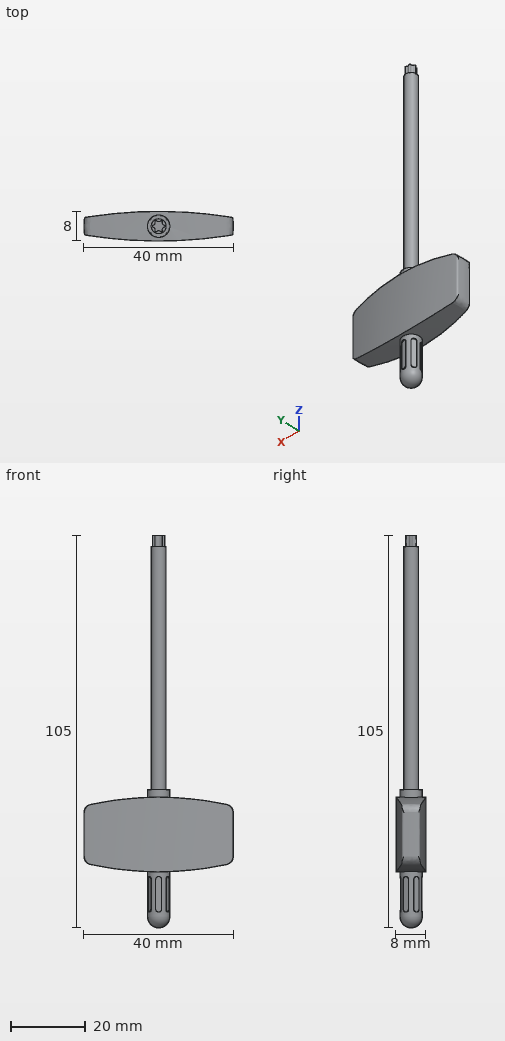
import cadquery as cq
import math


grip_diameter = 6.0
grip_length = 15.0
slot_count = 6
slot_length = 9.5
slot_width = 1.6
slot_depth = 0.3

handle_length = 40.0
handle_height = 20.0
handle_thickness = 8.0
end_height = 15.3
end_thickness = 4.65
end_corner_radius = 2.2
end_edge_radius = 0.5
end_overrun = 1.0

collar_diameter = 6.0
collar_height = 2.0
blade_diameter = 4.0
blade_length = 65.0
bit_length = 3.0
lobe_count = 6
bit_outer_diameter = 3.35
bit_root_diameter = 2.4
lobe_tip_radius = 0.27

handle_bottom = grip_length
handle_center = handle_bottom + handle_height / 2
collar_bottom = handle_bottom + handle_height
blade_bottom = collar_bottom + collar_height
bit_bottom = blade_bottom + blade_length


def bowed_sides(plane, center_size, end_size):
    """Outline reaching past the handle ends, its two long sides bowed outwards."""
    half_length = handle_length / 2
    rise = (center_size - end_size) / 2
    side_radius = (half_length**2 + rise**2) / (2 * rise)
    reach = half_length + end_overrun
    half_reach_size = center_size / 2 - side_radius + math.sqrt(side_radius**2 - reach**2)
    return (
        cq.Workplane(plane)
        .moveTo(-reach, -half_reach_size)
        .threePointArc((0, -center_size / 2), (reach, -half_reach_size))
        .lineTo(reach, half_reach_size)
        .threePointArc((0, center_size / 2), (-reach, half_reach_size))
        .close()
    )


def make_handle():
    """Handle bowed in height and thickness, with round-nosed ends."""
    end_disc = cq.Workplane("XY").circle(handle_length / 2).extrude(handle_height / 2, both=True)

    front_shape = bowed_sides("XZ", handle_height, end_height).extrude(handle_thickness / 2, both=True)
    front_shape = front_shape.intersect(end_disc).edges("%BSPLINE").fillet(end_corner_radius)

    plan_shape = bowed_sides("XY", handle_thickness, end_thickness).extrude(handle_height / 2, both=True)
    plan_shape = plan_shape.intersect(end_disc).edges("|Z").fillet(end_edge_radius)
    return front_shape.intersect(plan_shape).translate((0, 0, handle_center))


def make_grip():
    """Cylinder with a hemispherical lower end and flat-floored slots on its side."""
    grip_radius = grip_diameter / 2
    dome = cq.Workplane("XY", origin=(0, 0, grip_radius)).sphere(grip_radius)
    shank = (
        cq.Workplane("XY", origin=(0, 0, grip_radius))
        .circle(grip_radius)
        .extrude(handle_center - grip_radius)
    )
    grip = dome.union(shank)
    slot_height = (grip_radius + handle_bottom) / 2
    cutter = (
        cq.Workplane("XZ", origin=(0, slot_depth - grip_radius, slot_height))
        .slot2D(slot_length, slot_width, 90)
        .extrude(grip_radius)
    )
    for index in range(slot_count):
        grip = grip.cut(cutter.rotate((0, 0, 0), (0, 0, 1), index * 360 / slot_count))
    return grip


def rod_from_handle(diameter, top):
    """Round rod rising along Z from the middle of the handle to the given height."""
    rod = cq.Workplane("XY", origin=(0, 0, handle_center)).circle(diameter / 2)
    return rod.extrude(top - handle_center)


def make_bit():
    """Six-lobe bit: round lobes joined by tangent concave valleys, one lobe pointing along +X."""
    lobe_center = bit_outer_diameter / 2 - lobe_tip_radius
    half_pitch = math.pi / lobe_count
    root_radius = bit_root_diameter / 2
    lobe_along = lobe_center * math.cos(half_pitch)
    lobe_across = lobe_center * math.sin(half_pitch)
    offset = root_radius - lobe_along
    valley_radius = (lobe_across**2 + offset**2 - lobe_tip_radius**2) / (2 * (lobe_tip_radius - offset))
    valley_center = root_radius + valley_radius
    contact_share = lobe_tip_radius / (lobe_tip_radius + valley_radius)

    def polar(radius, angle):
        return (radius * math.cos(angle), radius * math.sin(angle))

    def contact(lobe_angle, valley_angle):
        lobe = polar(lobe_center, lobe_angle)
        valley = polar(valley_center, valley_angle)
        return tuple(a + (b - a) * contact_share for a, b in zip(lobe, valley))

    profile = cq.Workplane("XY", origin=(0, 0, bit_bottom)).moveTo(*contact(0, -half_pitch))
    for index in range(lobe_count):
        lobe_angle = 2 * half_pitch * index
        valley_angle = lobe_angle + half_pitch
        next_lobe_angle = valley_angle + half_pitch
        profile = profile.threePointArc(
            polar(bit_outer_diameter / 2, lobe_angle), contact(lobe_angle, valley_angle)
        ).threePointArc(polar(root_radius, valley_angle), contact(next_lobe_angle, valley_angle))
    return profile.close().extrude(bit_length)


collar = rod_from_handle(collar_diameter, blade_bottom)
blade = rod_from_handle(blade_diameter, bit_bottom)
result = make_handle().union(make_grip()).union(collar).union(blade).union(make_bit())